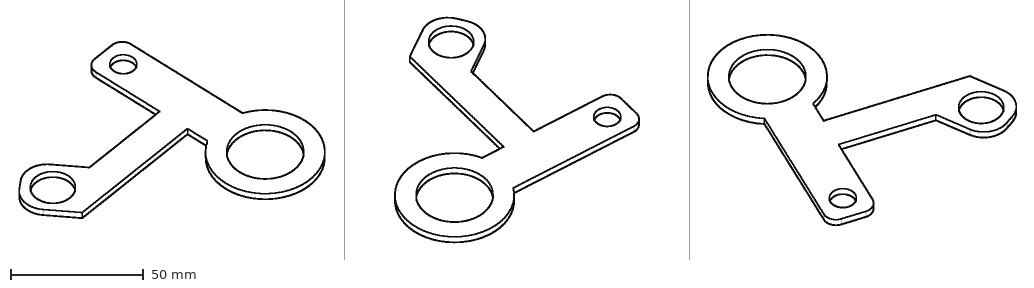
import cadquery as cq
import math

overall_length = 103.6
thickness = 3.0

ring_diameter = 44.9
ring_bore = 29.0

arm_width = 20.0
arm_corner_radius = 5.0
arm_hole_diameter = 10.1

leg_width = 14.0
leg_right_x = -30.1
leg_short_side = 40.0
leg_long_side = 60.0

foot_length = 25.0
foot_corner_radius = 10.0
foot_hole_diameter = 17.0

arm_left_x = ring_diameter / 2 - overall_length
arm_bottom_y = -arm_width / 2
leg_left_x = leg_right_x - leg_width
leg_end_drop = leg_long_side - leg_short_side
foot_width = math.hypot(leg_width, leg_end_drop)
foot_tilt = math.degrees(math.atan2(leg_width, leg_end_drop))
foot_root = (
    (leg_left_x + leg_right_x) / 2,
    arm_bottom_y - (leg_short_side + leg_long_side) / 2,
)


def make_ring():
    return cq.Workplane("XY").circle(ring_diameter / 2).extrude(thickness)


def make_arm():
    """Bar from the rounded free end to the ring centre."""
    return (
        cq.Workplane("XY")
        .center(arm_left_x / 2, 0)
        .rect(-arm_left_x, arm_width)
        .extrude(thickness)
        .edges("|Z and <X")
        .fillet(arm_corner_radius)
    )


def make_leg():
    """Strip hanging from the arm, cut at a slant at its lower end."""
    return (
        cq.Workplane("XY")
        .moveTo(leg_left_x, 0)
        .lineTo(leg_right_x, 0)
        .lineTo(leg_right_x, arm_bottom_y - leg_long_side)
        .lineTo(leg_left_x, arm_bottom_y - leg_short_side)
        .close()
        .extrude(thickness)
    )


def make_foot():
    """Tilted rectangular pad with a rounded outer end and a central hole."""
    return (
        cq.Workplane("XY")
        .center(-foot_length / 2, 0)
        .rect(foot_length, foot_width)
        .extrude(thickness)
        .edges("|Z and <X")
        .fillet(foot_corner_radius)
        .faces(">Z")
        .workplane(origin=(-foot_length / 2, 0, thickness))
        .hole(foot_hole_diameter)
        .rotate((0, 0, 0), (0, 0, 1), foot_tilt)
        .translate((foot_root[0], foot_root[1], 0))
    )


def make_hole(diameter, x):
    return cq.Workplane("XY").center(x, 0).circle(diameter / 2).extrude(thickness)


body = make_ring().union(make_arm()).union(make_leg()).union(make_foot())

arm_hole_x = arm_left_x + arm_width / 2
result = body.cut(make_hole(ring_bore, 0)).cut(make_hole(arm_hole_diameter, arm_hole_x))